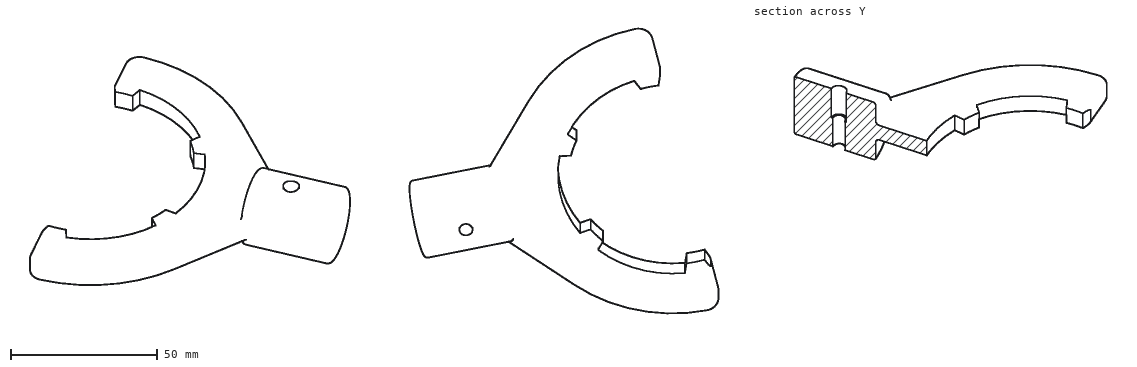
import cadquery as cq
import math

plate_thickness = 7.0
ring_outer_radius = 55.5
ring_inner_radius = 39.25
mouth_x = -4.5
mouth_corner_radius = 5.0
plate_edge_fillet = 1.0
plate_root_width = 20.0
shoulder_angle = 40.0

tooth_tip_radius = 35.5
tooth_tip_width = 6.3
tooth_root_width = 9.1
tooth_angles = (-90.0, -30.0, 30.0, 90.0)

collar_diameter = 27.0
collar_start_x = 58.5
collar_end_x = 89.5
collar_edge_fillet = 1.0
joint_fillet = 1.5
seam_turn = 90.0

screw_x = 72.5
clearance_diameter = 5.5
pilot_diameter = 4.5

tolerance = 0.01

collar_radius = collar_diameter / 2
collar_length = collar_end_x - collar_start_x


def polar(radius, angle):
    """Point at a radius and an angle in degrees about the ring centre."""
    return (radius * math.cos(math.radians(angle)), radius * math.sin(math.radians(angle)))


def prism(sketch):
    """Extrude a closed XY outline to the plate thickness, centred on Z."""
    return sketch.extrude(plate_thickness / 2, both=True)


def make_plate_blank():
    """Solid plate without the ring opening; straight tangent shoulders run into the collar."""
    shoulder_x, shoulder_y = polar(ring_outer_radius, shoulder_angle)
    tilt = math.radians(shoulder_angle)
    end_y = plate_root_width / 2
    end_x = (ring_outer_radius - end_y * math.sin(tilt)) / math.cos(tilt)
    corner_x = mouth_x + mouth_corner_radius
    corner_y = math.sqrt((ring_outer_radius - mouth_corner_radius) ** 2 - corner_x**2)
    corner_end_angle = math.degrees(math.atan2(corner_y, corner_x))
    arc_start = polar(ring_outer_radius, corner_end_angle)
    corner_mid_offset = polar(mouth_corner_radius, (180 + corner_end_angle) / 2)
    corner_mid = (corner_x + corner_mid_offset[0], corner_y + corner_mid_offset[1])
    arc_mid = polar(ring_outer_radius, (corner_end_angle + shoulder_angle) / 2)

    outline = (
        cq.Workplane("XY")
        .moveTo(mouth_x, -corner_y)
        .lineTo(mouth_x, corner_y)
        .threePointArc(corner_mid, arc_start)
        .threePointArc(arc_mid, (shoulder_x, shoulder_y))
        .lineTo(end_x, end_y)
        .lineTo(end_x, -end_y)
        .lineTo(shoulder_x, -shoulder_y)
        .threePointArc((arc_mid[0], -arc_mid[1]), (arc_start[0], -arc_start[1]))
        .threePointArc((corner_mid[0], -corner_mid[1]), (mouth_x, -corner_y))
        .close()
    )
    return prism(outline)


def make_collar():
    """Rounded cylinder, turned so its seam is at the top, clear of the plate joint."""
    return (
        cq.Workplane("YZ")
        .workplane(offset=collar_start_x)
        .circle(collar_radius)
        .extrude(collar_length)
        .edges()
        .fillet(collar_edge_fillet)
        .rotate((0, 0, 0), (1, 0, 0), seam_turn)
    )


def make_tooth_gap(start_angle, end_angle):
    """Cutter for the space between the flanks of two neighbouring teeth."""
    tip_half = math.degrees(math.asin(tooth_tip_width / 2 / tooth_tip_radius))
    root_half = math.degrees(math.asin(tooth_root_width / 2 / ring_inner_radius))
    middle = (start_angle + end_angle) / 2
    outline = (
        cq.Workplane("XY")
        .moveTo(*polar(tooth_tip_radius, start_angle + tip_half))
        .lineTo(*polar(ring_inner_radius, start_angle + root_half))
        .threePointArc(
            polar(ring_inner_radius, middle), polar(ring_inner_radius, end_angle - root_half)
        )
        .lineTo(*polar(tooth_tip_radius, end_angle - tip_half))
        .close()
    )
    return prism(outline)


def make_ring_opening():
    """Tooth-tip bore plus the gaps between teeth, the last gap being the mouth."""
    opening = prism(cq.Workplane("XY").circle(tooth_tip_radius))
    next_angles = tooth_angles[1:] + (tooth_angles[0] + 360,)
    for start_angle, end_angle in zip(tooth_angles, next_angles):
        opening = opening.union(make_tooth_gap(start_angle, end_angle))
    return opening


def make_screw_hole():
    """Clearance half above the collar axis and pilot half below it."""
    axis = cq.Workplane("XY").center(screw_x, 0)
    clearance = axis.circle(clearance_diameter / 2).extrude(collar_radius)
    pilot = axis.circle(pilot_diameter / 2).extrude(-collar_radius)
    return clearance.union(pilot)


def is_joint_edge(edge):
    """Whether an edge lies where the plate runs into the collar."""
    box = edge.BoundingBox()
    beside_plate = max(box.zmax, -box.zmin) < plate_thickness / 2 + tolerance
    return beside_plate and box.xmin > collar_start_x - tolerance


plate = make_plate_blank()
plate = plate.faces("<Z or >Z").edges("not (>X)").fillet(plate_edge_fillet)
body = plate.union(make_collar())
joint_edges = [edge for edge in body.edges().vals() if is_joint_edge(edge)]
body = body.newObject(joint_edges).fillet(joint_fillet)
result = body.cut(make_ring_opening()).cut(make_screw_hole())